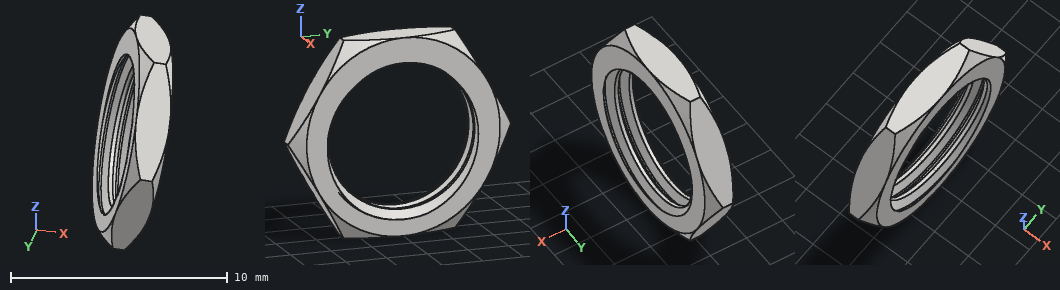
import cadquery as cq
import math

thickness = 1.6
across_corners = 11.0
across_flats = across_corners * math.cos(math.radians(30))

corner_edge_width = 0.56
chamfer_depth = (thickness - corner_edge_width) / 2

minor_diameter = 7.08
major_diameter = 7.94
pitch = 0.8
half_flank_angle = 30.0
root_flat = pitch / 8
cutter_overlap = 0.04
lead_turns = 1


def hexagon_body():
    """Hexagonal prism along Z with two corners on the Y axis."""
    prism = cq.Workplane("XY").polygon(6, across_corners).extrude(thickness / 2, both=True)
    return prism.rotate((0, 0, 0), (0, 0, 1), 90)


def chamfer_envelope():
    """Turned blank whose conical ends trim the hexagon corners."""
    half = thickness / 2
    profile = [
        (0, -half),
        (across_flats / 2, -half),
        (across_corners / 2, -half + chamfer_depth),
        (across_corners / 2, half - chamfer_depth),
        (across_flats / 2, half),
        (0, half),
    ]
    return cq.Workplane("XZ").polyline(profile).close().revolve(360, (0, 0, 0), (0, 1, 0))


def thread_groove():
    """Right-hand helical groove, centred at +X where it meets the lower face."""
    start = -thickness / 2 - lead_turns * pitch
    height = thickness + 2 * lead_turns * pitch
    inner_radius = minor_diameter / 2 - cutter_overlap
    outer_radius = major_diameter / 2
    root_half = root_flat / 2
    mouth_half = root_half + (outer_radius - inner_radius) * math.tan(math.radians(half_flank_angle))
    path = cq.Workplane(cq.Wire.makeHelix(pitch, height, minor_diameter / 2))
    profile = [
        (inner_radius, -mouth_half),
        (outer_radius, -root_half),
        (outer_radius, root_half),
        (inner_radius, mouth_half),
    ]
    groove = cq.Workplane("XZ").polyline(profile).close().sweep(path, isFrenet=True)
    return groove.translate((0, 0, start))


bore = cq.Workplane("XY").circle(minor_diameter / 2).extrude(thickness, both=True)
nut = hexagon_body().intersect(chamfer_envelope()).cut(thread_groove()).cut(bore)

result = cq.Workplane(nut.rotate((0, 0, 0), (0, 1, 0), 90).val().Solids()[0])